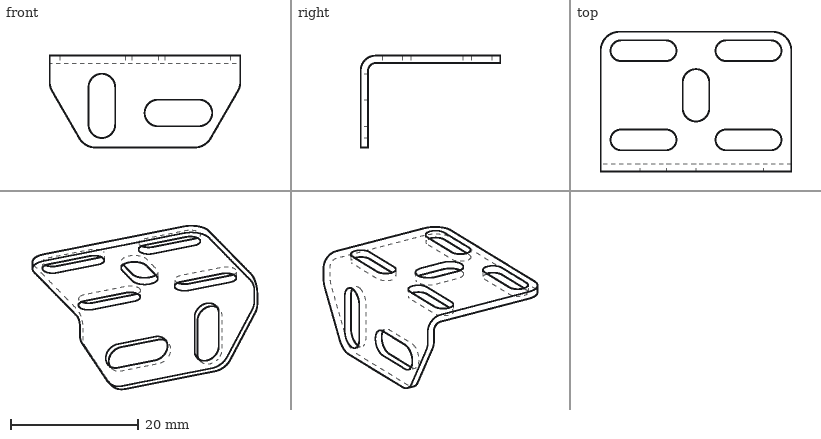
import cadquery as cq
import math

width = 30.0
depth = 22.0
height = 14.5
thickness = 1.2
bend_outer_radius = 2.4
bend_inner_radius = bend_outer_radius - thickness
corner_radius = 3.0

taper_start = 4.92
taper_angle = 60.0
taper_inset = (height - taper_start) / math.tan(math.radians(taper_angle))

corner_slot_length = 10.32
corner_slot_width = 3.2
corner_slot_spacing_x = 16.5
corner_slot_spacing_y = 14.0
back_row_inset = 3.0
slot_pattern_y = depth - back_row_inset - corner_slot_spacing_y / 2

wide_slot_width = 4.15
center_slot_length = 8.2
upright_slot_length = 10.05
upright_slot_center = (-6.78, -7.92)
level_slot_length = 10.6
level_slot_center = (5.25, -9.03)


def bent_sheet():
    """L-shaped sheet profile with a rounded bend, extruded along X."""
    sheet = (
        cq.Workplane("YZ")
        .polyline([
            (0, 0), (depth, 0), (depth, -thickness),
            (thickness, -thickness), (thickness, -height), (0, -height),
        ])
        .close()
        .extrude(width / 2, both=True)
    )
    edge_tolerance = 0.03
    outer_bend = cq.selectors.BoxSelector(
        (-width, -edge_tolerance, -edge_tolerance),
        (width, edge_tolerance, edge_tolerance),
    )
    inner_bend = cq.selectors.BoxSelector(
        (-width, thickness - edge_tolerance, -thickness - edge_tolerance),
        (width, thickness + edge_tolerance, -thickness + edge_tolerance),
    )
    sheet = sheet.edges(outer_bend).fillet(bend_outer_radius)
    return sheet.edges(inner_bend).fillet(bend_inner_radius)


def front_outline():
    """Front silhouette with tapered sides and rounded lower corners, cutting through all Y."""
    half_width = width / 2
    half_bottom = half_width - taper_inset
    return (
        cq.Workplane("XZ")
        .polyline([
            (-half_width, 0), (half_width, 0), (half_width, -taper_start),
            (half_bottom, -height), (-half_bottom, -height), (-half_width, -taper_start),
        ])
        .close()
        .extrude(-depth)
        .edges("|Y and (not >Z)")
        .fillet(corner_radius)
    )


def top_slots():
    """Cutters for the four corner slots and the center slot."""
    corner_slots = (
        cq.Workplane("XY")
        .center(0, slot_pattern_y)
        .rarray(corner_slot_spacing_x, corner_slot_spacing_y, 2, 2)
        .slot2D(corner_slot_length, corner_slot_width)
        .extrude(-thickness)
    )
    center_slot = (
        cq.Workplane("XY")
        .center(0, slot_pattern_y)
        .slot2D(center_slot_length, wide_slot_width, 90)
        .extrude(-thickness)
    )
    return corner_slots.union(center_slot)


def front_slot(center, length, angle):
    """Cutter for one slot through the front flange."""
    return (
        cq.Workplane("XZ")
        .center(*center)
        .slot2D(length, wide_slot_width, angle)
        .extrude(-thickness)
    )


result = (
    bent_sheet()
    .edges("|Z and >Y")
    .fillet(corner_radius)
    .intersect(front_outline())
    .cut(top_slots())
    .cut(front_slot(upright_slot_center, upright_slot_length, 90))
    .cut(front_slot(level_slot_center, level_slot_length, 0))
)